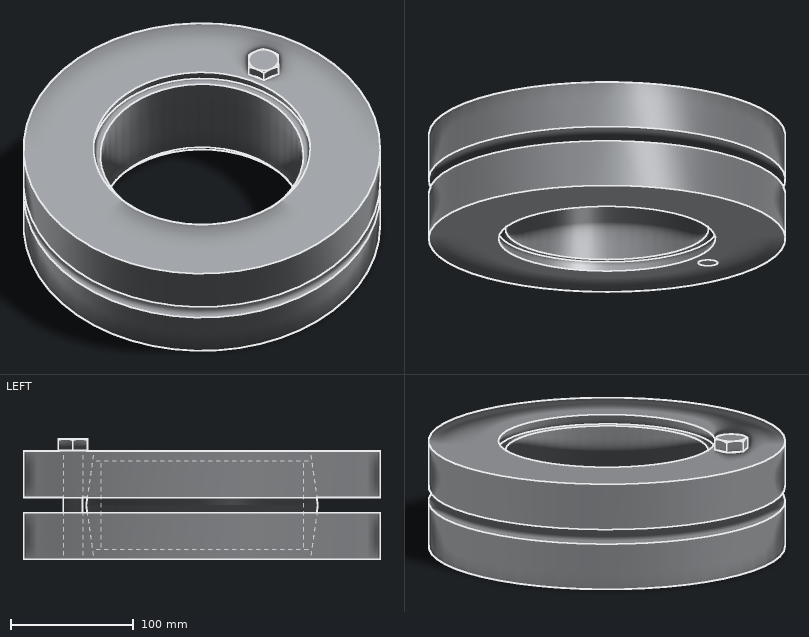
import cadquery as cq
import math

flange_diameter = 290.0
flange_thickness = 38.0
flange_gap = 12.2
clamp_height = 2 * flange_thickness + flange_gap
middle_z = clamp_height / 2

cone_middle_diameter = 188.5
cone_mouth_diameter = 176.0
sleeve_bore_diameter = 165.0
sleeve_recess = 8.0

bolt_offset = 105.0
shank_diameter = 16.0
head_height = 10.0
washer_face_diameter = 22.0
washer_face_height = 0.5
head_across_flats = 24.0
head_across_corners = head_across_flats / math.cos(math.pi / 6)
head_chamfer_angle = math.radians(30)


def cone_radius(height):
    """Radius of the double cone at a height above the bottom face."""
    middle_radius = cone_middle_diameter / 2
    mouth_radius = cone_mouth_diameter / 2
    return middle_radius - (middle_radius - mouth_radius) * abs(height - middle_z) / middle_z


def revolve_profile(points):
    """Turn a closed (radius, height) outline about the Z axis."""
    return cq.Workplane("XZ").polyline(points).close().revolve(360, (0, 0, 0), (0, 1, 0))


def make_flange(bottom_z):
    """Disc with a conical bore that seats the sleeve and a hole for the bolt."""
    top_z = bottom_z + flange_thickness
    disc = revolve_profile([
        (cone_radius(bottom_z), bottom_z),
        (flange_diameter / 2, bottom_z),
        (flange_diameter / 2, top_z),
        (cone_radius(top_z), top_z),
    ])
    bolt_hole = (
        cq.Workplane("XY", origin=(0, bolt_offset, bottom_z))
        .circle(shank_diameter / 2)
        .extrude(flange_thickness)
    )
    return disc.cut(bolt_hole)


def make_sleeve():
    """Double-cone ring with a straight bore."""
    low_z = sleeve_recess
    high_z = clamp_height - sleeve_recess
    bore_radius = sleeve_bore_diameter / 2
    return revolve_profile([
        (bore_radius, low_z),
        (cone_radius(low_z), low_z),
        (cone_radius(middle_z), middle_z),
        (cone_radius(high_z), high_z),
        (bore_radius, high_z),
    ])


def make_bolt():
    """Hex bolt: chamfered head with a washer face on the upper flange, shank through both flanges."""
    washer_face = cq.Workplane("XY").circle(washer_face_diameter / 2).extrude(washer_face_height)
    head = (
        cq.Workplane("XY", origin=(0, 0, washer_face_height))
        .polygon(6, head_across_corners)
        .extrude(head_height - washer_face_height)
    )

    top_radius = head_across_flats / 2
    corner_radius = head_across_corners / 2
    chamfer_drop = (corner_radius - top_radius) * math.tan(head_chamfer_angle)
    chamfer_envelope = revolve_profile([
        (0, 0),
        (corner_radius, 0),
        (corner_radius, head_height - chamfer_drop),
        (top_radius, head_height),
        (0, head_height),
    ])
    shank = cq.Workplane("XY").circle(shank_diameter / 2).extrude(-clamp_height)
    bolt_body = head.intersect(chamfer_envelope).union(washer_face).union(shank)
    return bolt_body.translate((0, bolt_offset, clamp_height))


flanges = [make_flange(bottom_z) for bottom_z in (0, flange_thickness + flange_gap)]
sleeve = make_sleeve()
bolt = make_bolt()

result = cq.Compound.makeCompound([
    *[flange.val() for flange in flanges],
    sleeve.val(),
    bolt.val(),
])